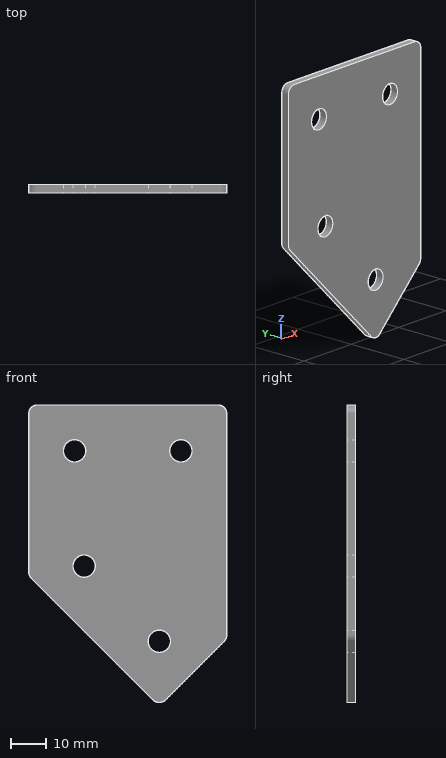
import cadquery as cq
import math

width = 56.0
height = 84.1
thickness = 2.5
corner_radius = 2.5
hole_diameter = 6.2
hole_spacing = 30.0
tip_x = 8.9

half_width = width / 2
edge_margin = (width - hole_spacing) / 2
tip_rounding_loss = corner_radius * (math.sqrt(2) - 1)
tip_z = -(height + tip_rounding_loss)

outline = [
    (-half_width, 0),
    (half_width, 0),
    (half_width, tip_z + half_width - tip_x),
    (tip_x, tip_z),
    (-half_width, tip_z + half_width + tip_x),
]

lower_hole_z = tip_z + edge_margin * math.sqrt(2)
diagonal_step = hole_spacing / math.sqrt(2)
hole_centers = [
    (-hole_spacing / 2, -edge_margin),
    (hole_spacing / 2, -edge_margin),
    (tip_x, lower_hole_z),
    (tip_x - diagonal_step, lower_hole_z + diagonal_step),
]

plate = cq.Workplane("XZ").polyline(outline).close().extrude(thickness)
plate = plate.edges("|Y").fillet(corner_radius)

holes = cq.Workplane("XZ").pushPoints(hole_centers).circle(hole_diameter / 2).extrude(thickness)

result = plate.cut(holes)